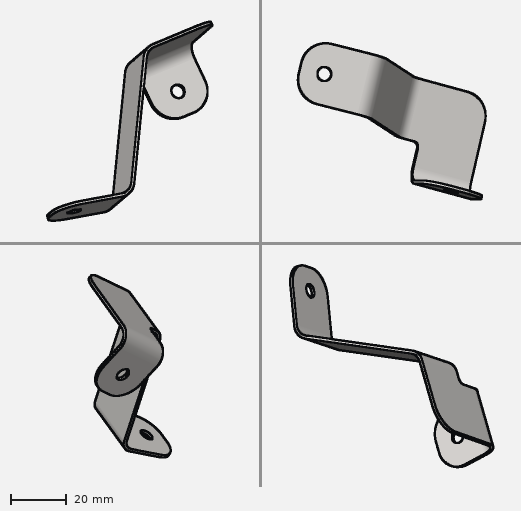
import cadquery as cq
import math

TIP_ANGLE = 35.4
PLATE_SLANT = 0.75

THICKNESS = 1.2
INNER_BEND_RADIUS = 5.0
OUTER_BEND_RADIUS = INNER_BEND_RADIUS + THICKNESS

STRIP_WIDTH = 22.25
HOOK_WIDTH = 22.5
CORNER_RADIUS = 9.0
NOTCH_RADIUS = 2.0
HOLE_DIAMETER = 5.0
TAB_HOLE_TO_END = 9.0
FLANGE_HOLE_TO_END = 9.2

HOOK_DEPTH = 37.4
FLANGE_REACH = 24.0
BEND_TOP_Z = OUTER_BEND_RADIUS - HOOK_DEPTH

FIRST_CORNER_Y = -30.7
RAMP_ANGLE = 58.0
RAMP_LENGTH = 54.3
TAB_ANGLE = 11.5
TAB_LENGTH = 27.5


def step(start, angle, length):
    """Point reached from start, heading along -Y turned by angle toward +X."""
    turn = math.radians(angle)
    return (start[0] + length * math.sin(turn), start[1] - length * math.cos(turn))


def offset_corner(corner, angle_in, angle_out):
    """Point on the second sheet face that matches a sharp corner of the first face."""
    half_bend = math.radians(angle_out - angle_in) / 2
    miter = THICKNESS / math.cos(half_bend)
    return step(corner, (angle_in + angle_out) / 2 + 90, miter)


def round_edge(body, point, radius):
    """Fillet the single edge closest to a point."""
    return body.edges(cq.selectors.NearestToPointSelector(point)).fillet(radius)


strip_start = (0, -HOOK_WIDTH / 2)
first_corner = (0, FIRST_CORNER_Y)
second_corner = step(first_corner, RAMP_ANGLE, RAMP_LENGTH)
tab_end = step(second_corner, -TAB_ANGLE, TAB_LENGTH)


def make_strip():
    """Twice-bent strip with a round-cornered, drilled end tab."""
    back_first = offset_corner(first_corner, 0, RAMP_ANGLE)
    back_second = offset_corner(second_corner, RAMP_ANGLE, -TAB_ANGLE)
    back_end = offset_corner(tab_end, -TAB_ANGLE, -TAB_ANGLE)
    back_start = offset_corner(strip_start, 0, 0)
    front = [strip_start, first_corner, second_corner, tab_end]
    back = [back_end, back_second, back_first, back_start]
    strip = cq.Workplane("XY").polyline(front + back).close().extrude(-STRIP_WIDTH)

    middle = -STRIP_WIDTH / 2
    strip = round_edge(strip, (*first_corner, middle), OUTER_BEND_RADIUS)
    strip = round_edge(strip, (*back_first, middle), INNER_BEND_RADIUS)
    strip = round_edge(strip, (*second_corner, middle), INNER_BEND_RADIUS)
    strip = round_edge(strip, (*back_second, middle), OUTER_BEND_RADIUS)

    end_centre = step(tab_end, 90 - TAB_ANGLE, THICKNESS / 2)
    for z in (0, -STRIP_WIDTH):
        strip = round_edge(strip, (*end_centre, z), CORNER_RADIUS)

    hole_start = cq.Vector(*step(tab_end, -TAB_ANGLE, -TAB_HOLE_TO_END), middle)
    hole_axis = cq.Vector(*step((0, 0), 90 - TAB_ANGLE, 1), 0)
    hole = cq.Solid.makeCylinder(HOLE_DIAMETER / 2, THICKNESS, hole_start, hole_axis)
    return strip.cut(cq.Workplane(hole))


def make_hook():
    """Square-bent flange with rounded corners and a hole, up to the end of its bend."""
    hook = (
        cq.Workplane("XZ")
        .moveTo(0, BEND_TOP_Z)
        .radiusArc((OUTER_BEND_RADIUS, -HOOK_DEPTH), -OUTER_BEND_RADIUS)
        .lineTo(FLANGE_REACH, -HOOK_DEPTH)
        .lineTo(FLANGE_REACH, THICKNESS - HOOK_DEPTH)
        .lineTo(OUTER_BEND_RADIUS, THICKNESS - HOOK_DEPTH)
        .radiusArc((THICKNESS, BEND_TOP_Z), INNER_BEND_RADIUS)
        .close()
        .extrude(HOOK_WIDTH)
    )
    middle = -HOOK_WIDTH / 2
    for y in (0, -HOOK_WIDTH):
        hook = round_edge(hook, (FLANGE_REACH, y, THICKNESS / 2 - HOOK_DEPTH), CORNER_RADIUS)
    hole = (
        cq.Workplane("XY", origin=(FLANGE_REACH - FLANGE_HOLE_TO_END, middle, -HOOK_DEPTH))
        .circle(HOLE_DIAMETER / 2)
        .extrude(THICKNESS)
    )
    return hook.cut(hole)


def plate_shift(z):
    """How far the slanted plate sides have moved toward -Y at height z."""
    return (z - BEND_TOP_Z) * math.tan(math.radians(PLATE_SLANT))


def make_plate():
    """Flat hook plate above the bend; both of its sides slant slightly toward -Y."""
    top_shift = plate_shift(0)
    return (
        cq.Workplane("YZ")
        .moveTo(0, BEND_TOP_Z)
        .lineTo(-top_shift, 0)
        .lineTo(-HOOK_WIDTH - top_shift, 0)
        .lineTo(-HOOK_WIDTH, BEND_TOP_Z)
        .close()
        .extrude(THICKNESS)
    )


def make_bracket():
    """Strip, plate and hook joined, with the plate corner and the notch rounded."""
    bracket = make_strip().union(make_plate()).union(make_hook()).clean()
    mid_sheet = THICKNESS / 2
    bracket = round_edge(bracket, (mid_sheet, -plate_shift(0), 0), CORNER_RADIUS)
    notch_y = -HOOK_WIDTH - plate_shift(-STRIP_WIDTH)
    bracket = round_edge(bracket, (mid_sheet, notch_y, -STRIP_WIDTH), NOTCH_RADIUS)
    return bracket.rotate((0, 0, 0), (0, 1, 0), TIP_ANGLE)


result = make_bracket()